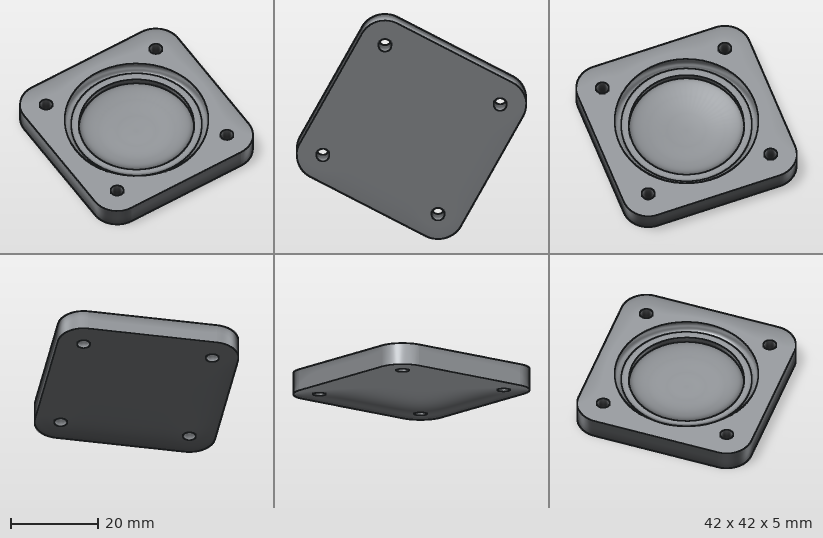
import cadquery as cq

plate_side = 42.0
plate_thickness = 5.0
corner_radius = 6.0

hole_diameter = 3.0
hole_spacing = plate_side - 2 * corner_radius

ledge_outer_radius = 15.0
rim_width = 1.5
ledge_depth = 1.75
rim_arc_radius = 2.5
pocket_diameter = 26.46
pocket_radius = pocket_diameter / 2
pocket_wall_depth = 1.5
bowl_depth = 1.0

top_z = plate_thickness
ledge_z = top_z - ledge_depth
bowl_edge_z = ledge_z - pocket_wall_depth
bowl_bottom_z = bowl_edge_z - bowl_depth
bowl_sphere_radius = (pocket_radius**2 + bowl_depth**2) / (2 * bowl_depth)


def make_plate():
    """Square plate standing on Z = 0 with rounded vertical corners."""
    plate = cq.Workplane("XY").rect(plate_side, plate_side).extrude(plate_thickness)
    return plate.edges("|Z").fillet(corner_radius)


def make_recess():
    """Solid of revolution that fills the stepped recess."""
    half_section = (
        cq.Workplane("XZ")
        .moveTo(0, top_z)
        .lineTo(ledge_outer_radius + rim_width, top_z)
        .radiusArc((ledge_outer_radius, ledge_z), rim_arc_radius)
        .lineTo(pocket_radius, ledge_z)
        .lineTo(pocket_radius, bowl_edge_z)
        .radiusArc((0, bowl_bottom_z), bowl_sphere_radius)
        .close()
    )
    return half_section.revolve(360, (0, 0), (0, 1))


def drill_corner_holes(plate):
    """Cut one through hole near each corner."""
    return (
        plate.faces(">Z").workplane(origin=(0, 0, top_z))
        .rect(hole_spacing, hole_spacing, forConstruction=True)
        .vertices()
        .hole(hole_diameter)
    )


result = drill_corner_holes(make_plate()).cut(make_recess())